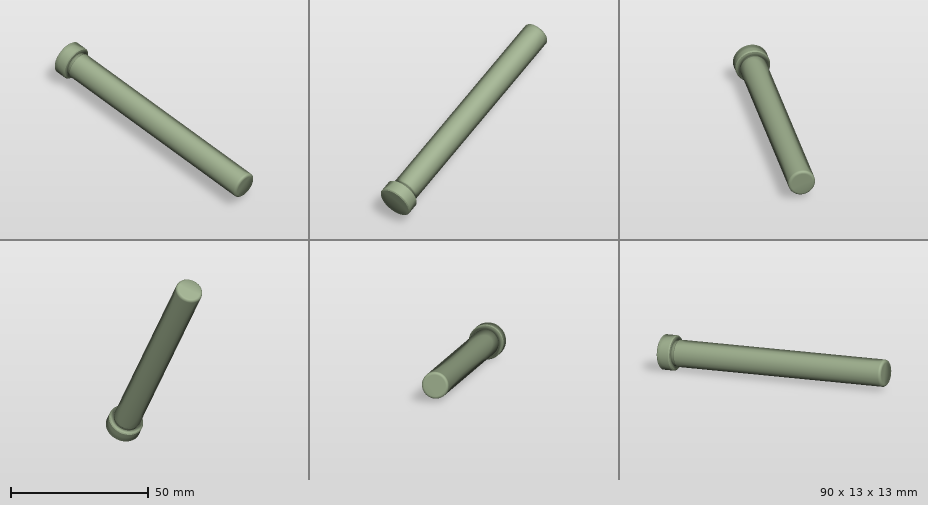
import cadquery as cq

total_length = 90.0
head_diameter = 13.0
head_length = 5.0
head_chamfer = 0.4
shank_diameter = 10.0
tip_radius = 1.0

groove_diameter = 9.45
groove_floor_length = 1.0
groove_runout_length = 0.4

head_start = -total_length / 2
head_end = head_start + head_length
tip_end = head_start + total_length


def cylinder_along_x(diameter, start, end):
    return cq.Workplane("YZ", origin=(start, 0, 0)).circle(diameter / 2).extrude(end - start)


def make_head():
    return cylinder_along_x(head_diameter, head_start, head_end).edges().chamfer(head_chamfer)


def make_shank():
    shank = cylinder_along_x(shank_diameter, head_end, tip_end)
    return shank.faces(">X").edges().fillet(tip_radius)


def make_groove():
    floor_end = head_end + groove_floor_length
    floor_radius = groove_diameter / 2
    rim_radius = shank_diameter / 2
    profile = (
        cq.Workplane("XY")
        .moveTo(head_end, floor_radius)
        .lineTo(floor_end, floor_radius)
        .lineTo(floor_end + groove_runout_length, rim_radius)
        .lineTo(head_end, rim_radius)
        .close()
    )
    return profile.revolve(360, (0, 0, 0), (1, 0, 0))


result = make_shank().cut(make_groove()).union(make_head())